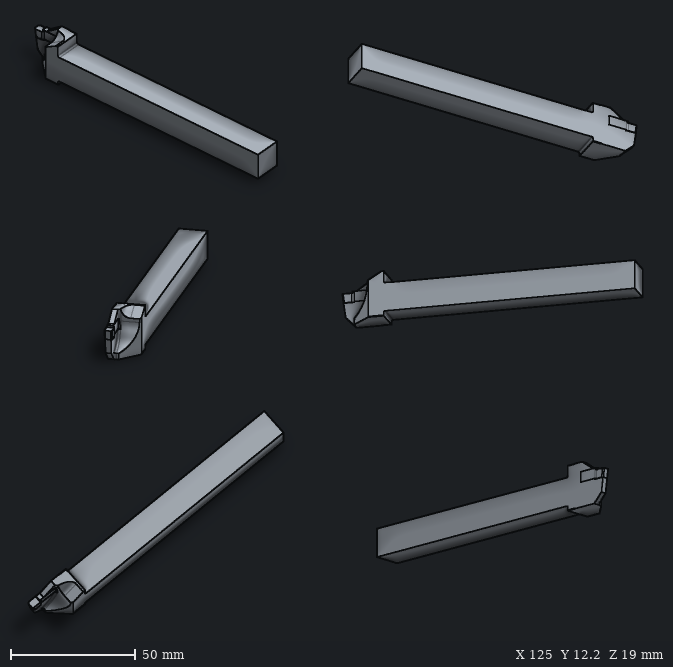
import cadquery as cq
import math

tool_length = 125.0
shank_size = 12.0
shank_bottom = 2.0
head_height = 19.0
head_end = 20.0
neck_fillet = 0.8
edge_chamfer = 0.2

nose_x = 5.6
nose_y = 7.5
shoulder_x = 13.6

blade_front = 9.5
blade_lower_x = 1.4
blade_lower_z = 4.0
blade_foot_x = 5.4
blade_top_x = 12.1
blade_root_x = 16.2

pocket_radius = 12.5
pocket_wall_x = 12.9
pocket_axis_z = 14.0
pocket_floor_fillet = 1.0

relief_start_z = 15.9
relief_end_x = 19.0
relief_flat_width = 4.5
relief_radius = 4.2

insert_overhang = 0.2
insert_width = 3.2
tip_length = 4.1
tip_top = 14.0
tip_bottom = 10.1
tip_rake_offset = 0.5
breaker_length = 0.8
tip_corner_chamfer = 0.5
stem_start = 5.0
stem_bottom = 10.5
stem_top = 14.9
stem_flat_end = 6.1
stem_end = 12.8


def extrude_y(outline, y_start, y_end):
    """Extrude a closed XZ outline between two Y positions."""
    return outline.extrude(y_start - y_end).translate((0, y_start, 0))


def make_shank():
    start = (head_end + tool_length) / 2
    length = tool_length - head_end
    return cq.Workplane("XY").box(length, shank_size, shank_size).translate(
        (start, shank_size / 2, shank_bottom + shank_size / 2)
    )


def make_head_block():
    root_x = nose_x - pocket_floor_fillet
    root_y = blade_front - pocket_floor_fillet
    plan = (
        cq.Workplane("XY")
        .moveTo(root_x, shank_size)
        .lineTo(root_x, blade_front)
        .radiusArc((nose_x, root_y), pocket_floor_fillet)
        .lineTo(nose_x, nose_y)
        .lineTo(shoulder_x, 0)
        .lineTo(head_end, 0)
        .lineTo(head_end, shank_size)
        .close()
    )
    block = plan.extrude(head_height)
    block = block.edges("<Z and |X").chamfer(edge_chamfer)
    return block.edges(">Y and >Z").chamfer(edge_chamfer)


def make_pocket():
    """Pocket tool, ending on the front face of the blade."""
    pocket = (
        cq.Workplane("XZ")
        .center(pocket_wall_x - pocket_radius, pocket_axis_z)
        .moveTo(-pocket_radius, 0)
        .threePointArc((0, -pocket_radius), (pocket_radius, 0))
        .lineTo(pocket_radius, head_height)
        .lineTo(-pocket_radius, head_height)
        .close()
        .extrude(-blade_front)
    )
    return pocket.faces(">Y").edges().fillet(pocket_floor_fillet)


def make_relief():
    """Sloping cutter with a flat bed and a concave round inner side."""
    run = relief_end_x - shoulder_x
    rise = head_height - relief_start_z
    slope = math.degrees(math.atan2(rise, run))
    cutter_length = 2 * head_end
    bed = cq.Workplane("XY").box(
        cutter_length, relief_flat_width, relief_radius, centered=(True, False, False)
    )
    side = (
        cq.Workplane("YZ")
        .center(relief_flat_width, relief_radius)
        .circle(relief_radius)
        .extrude(cutter_length / 2, both=True)
    )
    cutter = bed.union(side).rotate((0, 0, 0), (0, 1, 0), -slope)
    return cutter.translate((shoulder_x, 0, relief_start_z))


def make_blade():
    outline = [
        (tip_rake_offset, tip_bottom),
        (blade_lower_x, blade_lower_z),
        (blade_foot_x, 0),
        (blade_root_x, 0),
        (blade_root_x, head_height),
        (blade_top_x, head_height),
        (stem_flat_end, stem_top),
        (stem_start, stem_top),
        (stem_start, tip_bottom),
    ]
    return extrude_y(cq.Workplane("XZ").polyline(outline).close(), blade_front, shank_size)


def trim_to_blade(block):
    """Remove the part of the head block that rises above the blade's sloping top."""
    corner = [
        (0, stem_top),
        (stem_flat_end, stem_top),
        (blade_top_x, head_height),
        (0, head_height),
    ]
    return block.cut(extrude_y(cq.Workplane("XZ").polyline(corner).close(), 0, shank_size))


def trim_foot(block):
    """Remove the corner of the head block below the blade's sloping foot."""
    corner = [(0, 0), (blade_foot_x, 0), (blade_lower_x, blade_lower_z), (0, blade_lower_z)]
    return block.cut(extrude_y(cq.Workplane("XZ").polyline(corner).close(), 0, shank_size))


def make_seat():
    """Slot for the insert stem, cutting the pocket's floor fillet square."""
    seat_front = blade_front - pocket_floor_fillet
    outline = cq.Workplane("XZ").moveTo(0, stem_bottom).lineTo(stem_end, stem_bottom)
    outline = outline.lineTo(stem_end, stem_top).lineTo(0, stem_top).close()
    return extrude_y(outline, seat_front, shank_size)


def make_insert():
    tip_back = shank_size + insert_overhang
    tip_front = tip_back - insert_width
    side_outline = [
        (0, tip_top),
        (tip_rake_offset, tip_bottom),
        (stem_start, tip_bottom),
        (stem_start, stem_top),
        (tip_length + breaker_length, stem_top),
        (tip_length, tip_top),
    ]
    tip = extrude_y(cq.Workplane("XZ").polyline(side_outline).close(), tip_front, tip_back)
    tip = tip.faces("<X").edges("not |Y").chamfer(tip_corner_chamfer)
    plan = [
        (0, tip_front),
        (tip_length, tip_front),
        (stem_start, blade_front),
        (stem_start, shank_size),
        (tip_length, tip_back),
        (0, tip_back),
    ]
    tip = tip.intersect(cq.Workplane("XY").polyline(plan).close().extrude(head_height))
    stem_outline = [
        (tip_length, stem_bottom),
        (stem_end, stem_bottom),
        (stem_end, stem_top),
        (tip_length, stem_top),
    ]
    stem = extrude_y(cq.Workplane("XZ").polyline(stem_outline).close(), blade_front, shank_size)
    return tip.union(stem)


def make_holder(insert):
    head = trim_foot(trim_to_blade(make_head_block()))
    head = head.cut(make_pocket()).cut(make_relief()).union(make_blade())
    holder = head.union(make_shank())
    shank_top = shank_bottom + shank_size
    neck_edges = cq.selectors.BoxSelector(
        (head_end - edge_chamfer, -edge_chamfer, shank_bottom - edge_chamfer),
        (head_end + edge_chamfer, shank_size + edge_chamfer, shank_top + edge_chamfer),
    )
    holder = holder.edges(neck_edges).edges("|Y").fillet(neck_fillet)
    return holder.cut(make_seat()).cut(insert)


insert = make_insert()
holder = make_holder(insert)
result = cq.Compound.makeCompound([*holder.vals(), insert.val()])